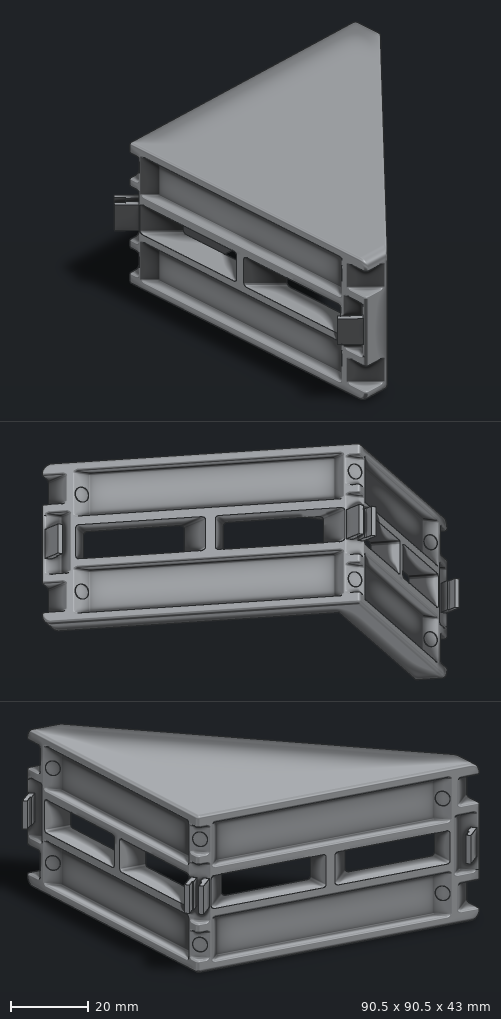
import cadquery as cq
import math

overall_length = 90.5
leg_length = 85.8
leg_thickness = 8.0
height = 43.0
plate_thickness = 3.2
edge_radius = 0.9
end_radius = 2.7

rim_radius = 0.5
inner_radius = 0.5

half_height = height / 2
reach = 2 * leg_length

channel_start = 4.4
channel_end = 77.0
channel_depth = 3.4
channel_bottom = 7.0
channel_top = 18.9

window_height = 9.05
window_radius = 0.9
window_spans = ((4.2, 39.0), (41.6, 76.6))

corner_total = 3.9
end_offset = 78.9
notch_bottom = 10.6
notch_top = 18.2
groove_half_height = 8.1
groove_offset = 77.8
groove_total = 84.7

tab_half_width = 3.9
tab_overhang = overall_length - leg_length
tab_thickness = 1.4
end_tab_offset = groove_total
corner_tab_offset = 3.6
corner_tab_length = 6.4
tab_root_depth = 0.9
rib_length = 3.4
rib_height = 0.4

mark_diameter = 4.0
mark_depth = 0.2
channel_mark_z = (channel_bottom + channel_top) / 2


tolerance = 0.001

root_two = math.sqrt(2)


def on_both_legs(shape):
    """Shape plus its copy on the other leg; a half turn about the line x = y swaps the legs."""
    return shape.union(shape.rotate((0, 0, 0), (1, 1, 0), 180))


def above_and_below(shape):
    return shape.union(shape.mirror("XY"))


def prism(points, bottom, top):
    return cq.Workplane("XY").workplane(offset=bottom).polyline(points).close().extrude(top - bottom)


def diagonal_block(totals, offsets, bottom, top):
    """Block turned 45 degrees, bounded by x + y in totals and x - y in offsets."""
    low, high = totals
    near, far = offsets
    corners = ((low, near), (high, near), (high, far), (low, far))
    points = [((total + offset) / 2, (total - offset) / 2) for total, offset in corners]
    return prism(points, bottom, top)


def diagonal_pocket(totals, offsets, bottom, top):
    """Diagonal block with softened edges, for cutting recesses with rounded inner corners."""
    return diagonal_block(totals, offsets, bottom, top).edges().fillet(inner_radius)


def make_body():
    """Legs and top plate with rounded outer edges; the inside is open below and along the long side."""
    outline = [
        (0, 0),
        (leg_length, 0),
        (leg_length, leg_thickness),
        (leg_thickness, leg_length),
        (0, leg_length),
    ]
    body = prism(outline, -half_height, half_height)
    body = body.faces(">X or >Y").edges("#Z").fillet(end_radius)
    body = body.faces("<X or <Y or >Z").edges().fillet(edge_radius)
    interior = prism(
        [(leg_thickness, leg_thickness), (reach, leg_thickness), (reach, reach), (leg_thickness, reach)],
        -height,
        half_height - plate_thickness,
    )
    return body.cut(interior)


def make_channel():
    """Channel in the leg along X, with ends slanting at 45 degrees."""
    points = [
        (channel_start - channel_depth, -channel_depth),
        (channel_start + channel_depth, channel_depth),
        (channel_end - channel_depth, channel_depth),
        (channel_end + channel_depth, -channel_depth),
    ]
    return prism(points, channel_bottom, channel_top).edges().fillet(inner_radius)


def make_window(start, end):
    """Opening whose wall nearest the corner slants at 45 degrees."""
    depth = leg_thickness + edge_radius
    points = [(start - depth, -depth), (start + depth, depth), (end, depth), (end, -depth)]
    window = prism(points, -window_height / 2, window_height / 2)
    return window.edges("not (|X or |Z)").fillet(window_radius)


def make_corner_cuts():
    """Flats across the corner where the legs meet, leaving thin fins between them."""
    flat = (-corner_total, corner_total)
    notch = diagonal_pocket(flat, (-reach, reach), notch_bottom, notch_top)
    middle = diagonal_pocket(flat, (-reach, reach), -groove_half_height, groove_half_height)
    return above_and_below(notch).union(middle)


def make_end_cuts():
    """Two diagonal notches and a right-angled groove at the free end of a leg."""
    notch = diagonal_pocket((-reach, reach), (end_offset, reach), notch_bottom, notch_top)
    groove = diagonal_pocket((0, groove_total), (groove_offset, reach), -groove_half_height, groove_half_height)
    return above_and_below(notch).union(groove)


def round_rims(body):
    """Round the outer rims of the recesses: their upper and lower edges, and their slanted ends."""
    rim_heights = (channel_bottom, channel_top, notch_bottom, notch_top, groove_half_height)
    rim_ends = (channel_end, end_offset, groove_offset)

    def is_rim(edge):
        center = edge.Center()
        inward, along = sorted((center.x, center.y))
        on_level = any(abs(abs(center.z) - level) < tolerance for level in rim_heights)
        on_end = any(abs(along - end) < tolerance for end in rim_ends)
        return inward < edge_radius / 2 and (on_level or on_end)

    return body.edges().filter(is_rim).fillet(rim_radius)


def make_tab(total_root, total_tip, outer_offset):
    """Flat tab along (-1, -1) with a short thicker root on its inner face."""
    inner_offset = outer_offset - tab_thickness * root_two
    rib_offset = inner_offset - rib_height * root_two
    rib_tip = total_root - rib_length * root_two
    overlap = total_root + tab_root_depth * root_two
    blade = diagonal_block((total_tip, overlap), (inner_offset, outer_offset), -tab_half_width, tab_half_width)
    rib = diagonal_block((rib_tip, overlap), (rib_offset, outer_offset), -tab_half_width, tab_half_width)
    return blade.union(rib)


def make_tabs():
    end_tip = end_tab_offset - 2 * tab_overhang
    end_tab = make_tab(groove_total, end_tip, end_tab_offset)
    corner_tip = corner_total - corner_tab_length * root_two
    corner_tab = make_tab(corner_total, corner_tip, corner_tab_offset)
    return on_both_legs(end_tab.union(corner_tab))


def make_mark(total, offset, z):
    """Round mark on a diagonal face that looks along (-1, -1)."""
    plane = cq.Plane(origin=((total + offset) / 2, (total - offset) / 2, z), xDir=(0, 0, 1), normal=(1, 1, 0))
    return cq.Workplane(plane).circle(mark_diameter / 2).extrude(mark_depth)


def make_marks():
    corner_mark = make_mark(corner_total, 0, (notch_bottom + notch_top) / 2)
    channel_mark = make_mark(channel_end, channel_end - channel_depth, channel_mark_z)
    return above_and_below(corner_mark.union(on_both_legs(channel_mark)))


body = make_body()
body = body.cut(on_both_legs(above_and_below(make_channel())))
for start, end in window_spans:
    body = body.cut(on_both_legs(make_window(start, end)))
body = body.cut(on_both_legs(make_end_cuts()))
body = body.cut(make_corner_cuts())
body = round_rims(body)
result = body.union(make_tabs()).cut(make_marks())